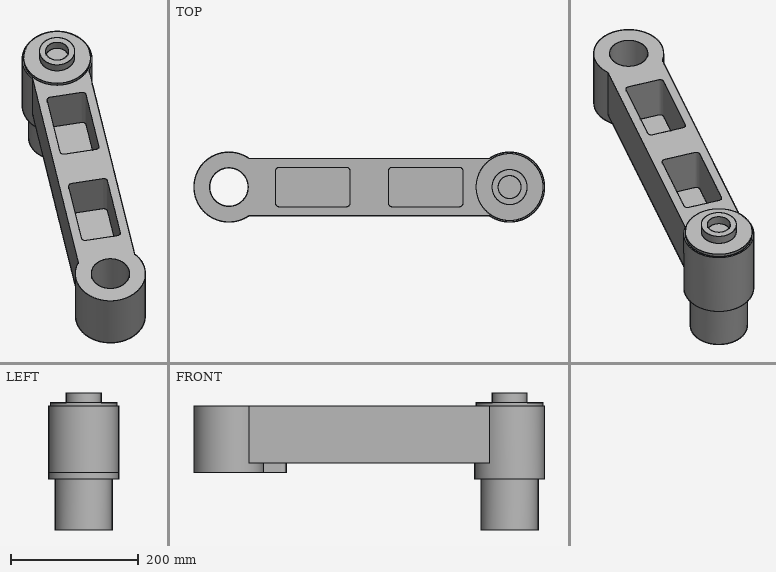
import cadquery as cq

AXIS_SPACING = 440.0
ARM_WIDTH = 90.0
ARM_HEIGHT = 90.0

BOSS_RADIUS = 55.0
BORED_BOSS_HEIGHT = 105.0
SPINDLE_BOSS_HEIGHT = 115.0
BORE_RADIUS = 30.0

LUG_WIDTH = 16.0
LUG_TIP_X = 90.0

POCKET_LENGTH = 117.0
POCKET_WIDTH = 62.0
POCKET_DEPTH = 75.0
POCKET_CORNER_RADIUS = 6.0
POCKET_GAP = 60.0

PIN_RADIUS = 45.0
PIN_LENGTH = 80.0
DISC_RADIUS = 52.5
DISC_THICKNESS = 5.0
COLLAR_RADIUS = 27.5
COLLAR_HEIGHT = 15.0
SOCKET_RADIUS = 18.0
SOCKET_DEPTH = 15.0


def cylinder(x, radius, bottom, height):
    """Upright cylinder whose axis lies at (x, 0)."""
    return cq.Workplane("XY", origin=(x, 0, bottom)).circle(radius).extrude(height)


def make_bar():
    """Rectangular bar running from one boss axis to the other."""
    bar = cq.Workplane("XY", origin=(AXIS_SPACING / 2, 0, -ARM_HEIGHT))
    return bar.rect(AXIS_SPACING, ARM_WIDTH).extrude(ARM_HEIGHT)


def make_lug():
    """Round-ended lug filling the step between the bar and the bored boss bottom."""
    height = BORED_BOSS_HEIGHT - ARM_HEIGHT
    start_x = BOSS_RADIUS - LUG_WIDTH
    half_width = LUG_WIDTH / 2
    round_x = LUG_TIP_X - half_width
    return (
        cq.Workplane("XY", origin=(0, 0, -BORED_BOSS_HEIGHT))
        .moveTo(start_x, -half_width)
        .lineTo(round_x, -half_width)
        .threePointArc((LUG_TIP_X, 0), (round_x, half_width))
        .lineTo(start_x, half_width)
        .close()
        .extrude(height)
    )


def make_spindle():
    """Stepped spindle: pin, boss, cover disc and collar on one axis."""
    pin_bottom = -SPINDLE_BOSS_HEIGHT - PIN_LENGTH
    pin = cylinder(AXIS_SPACING, PIN_RADIUS, pin_bottom, PIN_LENGTH)
    boss = cylinder(AXIS_SPACING, BOSS_RADIUS, -SPINDLE_BOSS_HEIGHT, SPINDLE_BOSS_HEIGHT)
    disc = cylinder(AXIS_SPACING, DISC_RADIUS, 0, DISC_THICKNESS)
    collar = cylinder(AXIS_SPACING, COLLAR_RADIUS, DISC_THICKNESS, COLLAR_HEIGHT)
    return pin.union(boss).union(disc).union(collar)


def make_socket():
    """Blind round socket sunk into the collar."""
    bottom = DISC_THICKNESS + COLLAR_HEIGHT - SOCKET_DEPTH
    return cylinder(AXIS_SPACING, SOCKET_RADIUS, bottom, SOCKET_DEPTH)


def make_pockets():
    """Two round-cornered pockets placed symmetrically about the middle of the bar."""
    offset = (POCKET_LENGTH + POCKET_GAP) / 2
    return (
        cq.Workplane("XY", origin=(AXIS_SPACING / 2, 0, -POCKET_DEPTH))
        .pushPoints([(-offset, 0), (offset, 0)])
        .rect(POCKET_LENGTH, POCKET_WIDTH)
        .extrude(POCKET_DEPTH)
        .edges("|Z")
        .fillet(POCKET_CORNER_RADIUS)
    )


bored_boss = cylinder(0, BOSS_RADIUS, -BORED_BOSS_HEIGHT, BORED_BOSS_HEIGHT)
bore = cylinder(0, BORE_RADIUS, -BORED_BOSS_HEIGHT, BORED_BOSS_HEIGHT)

body = make_bar().union(bored_boss).union(make_lug()).union(make_spindle())
result = body.cut(bore).cut(make_pockets()).cut(make_socket())